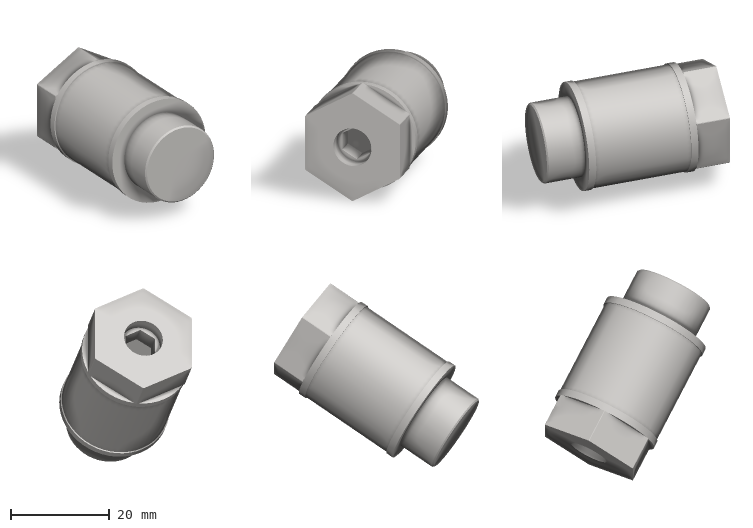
import cadquery as cq
import math

total_length = 38.0
head_length = 7.0
collar_width = 1.5
shoulder_end = 30.02
tip_chamfer = 0.3

head_flats = 20.0
head_corner_diameter = 23.0
collar_diameter = 22.5
body_diameter = 22.0
spigot_diameter = 16.65

bore_diameter = 8.0
bore_depth = 3.0
socket_flats = 6.08
socket_depth = 4.0


def cylinder(start, length, diameter):
    """Cylinder along +X."""
    return cq.Workplane("YZ", origin=(start, 0, 0)).circle(diameter / 2).extrude(length)


def hexagon(start, length, flats):
    """Hexagonal prism along +X with corners at the top and bottom."""
    corner_diameter = flats / math.cos(math.pi / 6)
    return (
        cq.Workplane("YZ", origin=(start, 0, 0))
        .transformed(rotate=(0, 0, 90))
        .polygon(6, corner_diameter)
        .extrude(length)
    )


head = hexagon(0, head_length, head_flats)
head = head.intersect(cylinder(0, head_length, head_corner_diameter))

body = cylinder(head_length, shoulder_end - head_length, body_diameter)
for collar_start in (head_length, shoulder_end - collar_width):
    body = body.union(cylinder(collar_start, collar_width, collar_diameter))

spigot = cylinder(shoulder_end, total_length - shoulder_end, spigot_diameter)
spigot = spigot.faces(">X").chamfer(tip_chamfer)

bore = cylinder(0, bore_depth, bore_diameter)
socket = hexagon(bore_depth, socket_depth, socket_flats)

result = head.union(body).union(spigot).cut(bore).cut(socket)